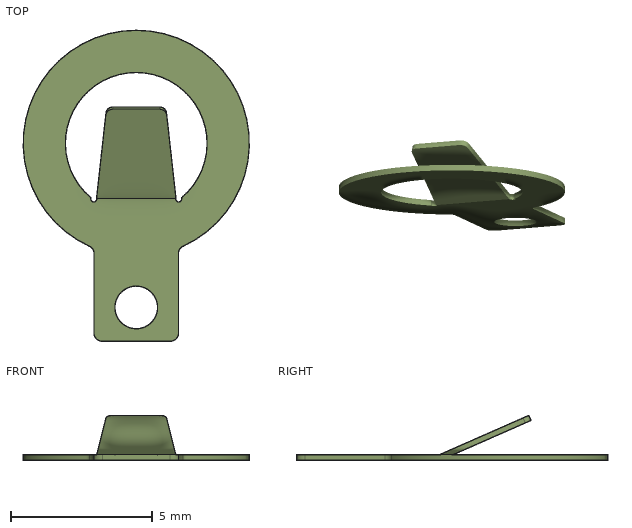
import cadquery as cq
import math

thickness = 0.2
ring_radius = 4.0
opening_radius = 2.5

tab_width = 3.0
tab_end_y = -7.0
tab_corner_radius = 0.3
neck_fillet_radius = 0.25
tab_hole_diameter = 1.5
tab_hole_y = -5.8

bend_y = -1.95
tongue_root_width = 2.8
tongue_tip_width = 2.1
tongue_corner_radius = 0.25
part_height = 1.59
tongue_length = 3.45
bend_angle = math.asin((part_height - thickness) / tongue_length)

notch_radius = 0.1
notch_x = tongue_root_width / 2 + notch_radius
notch_center_y = -1.97


def make_blank():
    """Flat ring and tab, with the neck and tab corners rounded."""
    ring = cq.Workplane("XY").circle(ring_radius).extrude(thickness)
    tab = (
        cq.Workplane("XY")
        .center(0, tab_end_y / 2)
        .rect(tab_width, -tab_end_y)
        .extrude(thickness)
        .edges("|Z and <Y")
        .fillet(tab_corner_radius)
    )
    neck_y = -math.sqrt(ring_radius**2 - (tab_width / 2) ** 2)
    half_size = neck_fillet_radius / 2
    neck_zone = cq.selectors.BoxSelector(
        (-tab_width, neck_y - half_size, -thickness),
        (tab_width, neck_y + half_size, 2 * thickness),
    )
    return ring.union(tab).edges("|Z").edges(neck_zone).fillet(neck_fillet_radius)


def make_opening():
    """Round opening cut straight along the bend, with a relief notch at each end."""
    above_bend = (
        cq.Workplane("XY")
        .center(0, bend_y + opening_radius)
        .rect(2 * opening_radius, 2 * opening_radius)
        .extrude(thickness)
    )
    opening = cq.Workplane("XY").circle(opening_radius).extrude(thickness).intersect(above_bend)
    notch_top_y = bend_y + notch_radius
    for side in (-1, 1):
        notch_end = (
            cq.Workplane("XY")
            .center(side * notch_x, notch_center_y)
            .circle(notch_radius)
            .extrude(thickness)
        )
        notch_walls = (
            cq.Workplane("XY")
            .center(side * notch_x, (notch_center_y + notch_top_y) / 2)
            .rect(2 * notch_radius, notch_top_y - notch_center_y)
            .extrude(thickness)
        )
        opening = opening.union(notch_end).union(notch_walls)
    return opening


def make_tongue():
    """Sloping tongue: its bent side profile trimmed to a tapered outline with round tip corners."""
    overlap = thickness
    sine = math.sin(bend_angle)
    cosine = math.cos(bend_angle)
    tip_y = bend_y + tongue_length * cosine
    lower_bend_y = bend_y + thickness * math.tan(bend_angle / 2)
    profile = (
        cq.Workplane("YZ")
        .polyline([
            (bend_y - overlap, 0),
            (lower_bend_y, 0),
            (tip_y + thickness * sine, part_height - thickness * cosine),
            (tip_y, part_height),
            (bend_y, thickness),
            (bend_y - overlap, thickness),
        ])
        .close()
        .extrude(tongue_root_width / 2, both=True)
    )
    slope = cq.Plane(
        origin=(0, bend_y, thickness),
        xDir=(1, 0, 0),
        normal=(0, -sine, cosine),
    )
    root_x = tongue_root_width / 2
    tip_x = tongue_tip_width / 2
    outline = (
        cq.Workplane(slope)
        .polyline([
            (-root_x, -2 * overlap),
            (-root_x, 0),
            (-tip_x, tongue_length),
            (tip_x, tongue_length),
            (root_x, 0),
            (root_x, -2 * overlap),
        ])
        .close()
        .extrude(2 * thickness, both=True)
    )
    across_sheet = cq.selectors.ParallelDirSelector(slope.zDir)
    tip_face = cq.selectors.DirectionMinMaxSelector(slope.yDir, True)
    outline = outline.faces(tip_face).edges(across_sheet).fillet(tongue_corner_radius)
    return profile.intersect(outline)


def make_tab_hole():
    """Round hole through the tab."""
    return (
        cq.Workplane("XY")
        .center(0, tab_hole_y)
        .circle(tab_hole_diameter / 2)
        .extrude(thickness)
    )


result = make_blank().cut(make_opening()).cut(make_tab_hole()).union(make_tongue())